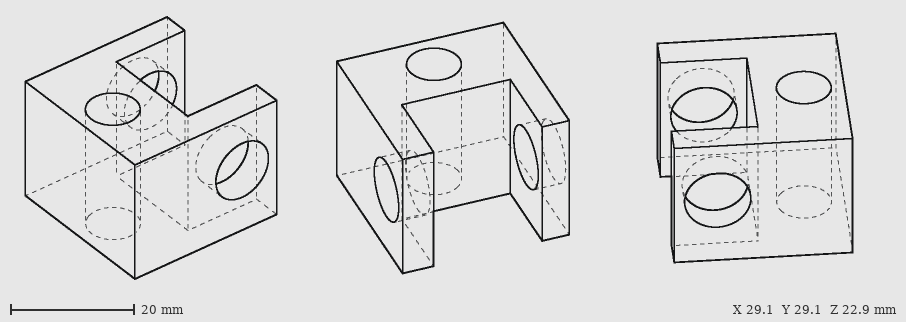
import cadquery as cq

width = 29.1
depth = 29.1
height = 22.9

left_arm_thickness = 4.75
slot_width = 18.95
slot_depth = 14.08

vertical_hole_diameter = 8.9
vertical_hole_x = 14.72
vertical_hole_y = 6.58

cross_hole_diameter = 10.8
cross_hole_from_arm_end = 7.1
cross_hole_z = 12.02


def make_block():
    """Block with its lower -X, -Y corner at the origin."""
    return cq.Workplane("XY").box(width, depth, height, centered=False)


def make_slot():
    """Full-height gap between the arms."""
    return (
        cq.Workplane("XY")
        .box(slot_width, slot_depth, height, centered=False)
        .translate((left_arm_thickness, depth - slot_depth, 0))
    )


def make_vertical_hole():
    return (
        cq.Workplane("XY")
        .center(vertical_hole_x, vertical_hole_y)
        .circle(vertical_hole_diameter / 2)
        .extrude(height)
    )


def make_cross_hole():
    return (
        cq.Workplane("YZ")
        .center(depth - cross_hole_from_arm_end, cross_hole_z)
        .circle(cross_hole_diameter / 2)
        .extrude(width)
    )


result = make_block().cut(make_slot()).cut(make_vertical_hole()).cut(make_cross_hole())